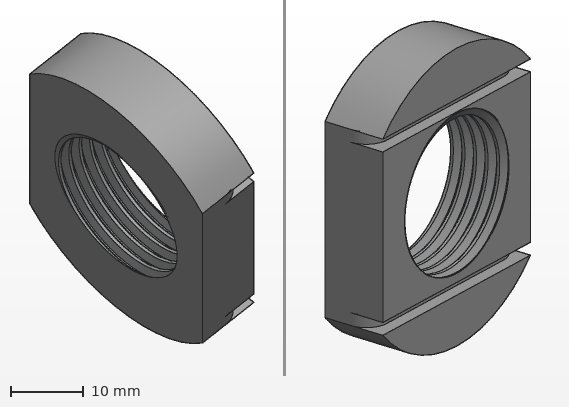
import cadquery as cq

outer_diameter = 45
width_across_flats = 33.9
thickness = 10.0
minor_diameter = 23.05
major_diameter = 25.25

turns_in_bore = 5
pitch = thickness / turns_in_bore
crest_width = pitch / 4
root_width = pitch / 8
spare_turns = 1
bore_overlap = 0.15

slot_height = 1.95
slot_depth = 2.0
slot_mouth_radius = 3.5

half_width = width_across_flats / 2
half_thickness = thickness / 2
outer_radius = outer_diameter / 2
minor_radius = minor_diameter / 2
major_radius = major_diameter / 2
flat_half_height = (outer_radius**2 - half_width**2) ** 0.5


def make_body():
    """Round disc with two parallel flats and a plain bore."""
    disc = cq.Workplane("XZ").circle(outer_radius).circle(minor_radius).extrude(half_thickness, both=True)
    flats = cq.Workplane("XY").box(width_across_flats, thickness, outer_diameter)
    return disc.intersect(flats)


def make_thread_groove():
    """Right-hand V groove whose root is at the top of the bore on the front face."""
    total_turns = turns_in_bore + 2 * spare_turns
    length = total_turns * pitch
    helix = cq.Wire.makeHelix(pitch, length, minor_radius)

    flank_slope = (pitch - crest_width - root_width) / 2 / (major_radius - minor_radius)
    inner_half_width = (pitch - crest_width) / 2 + bore_overlap * flank_slope
    inner_radius = minor_radius - bore_overlap
    groove = (
        cq.Workplane("XZ")
        .moveTo(inner_radius, -inner_half_width)
        .lineTo(major_radius, -root_width / 2)
        .lineTo(major_radius, root_width / 2)
        .lineTo(inner_radius, inner_half_width)
        .close()
        .sweep(cq.Workplane(obj=helix), isFrenet=True)
    )
    return (
        groove.translate((0, 0, -length / 2))
        .rotate((0, 0, 0), (0, 0, 1), 90)
        .rotate((0, 0, 0), (1, 0, 0), 90)
    )


def make_slot(bottom):
    """Slot across the full width, with a convex rounded mouth at each flat."""
    floor_y = half_thickness - slot_depth
    mouth_y = floor_y - slot_mouth_radius
    return (
        cq.Workplane("XY", origin=(0, 0, bottom))
        .moveTo(-half_width, half_thickness)
        .lineTo(-half_width, mouth_y)
        .radiusArc((-half_width + slot_mouth_radius, floor_y), slot_mouth_radius)
        .lineTo(half_width - slot_mouth_radius, floor_y)
        .radiusArc((half_width, mouth_y), slot_mouth_radius)
        .lineTo(half_width, half_thickness)
        .close()
        .extrude(slot_height)
    )


result = make_body().cut(make_thread_groove())
for slot_bottom in (flat_half_height - slot_height, -flat_half_height):
    result = result.cut(make_slot(slot_bottom))